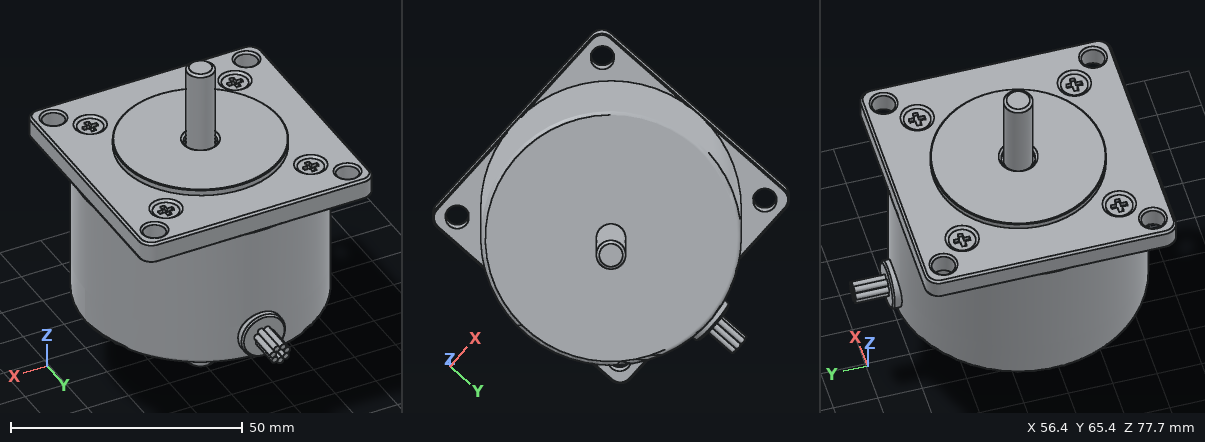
import cadquery as cq
import math


flange_width = 56.4
flange_thickness = 5.08
flange_corner_radius = 3.0
flange_top_chamfer = 0.5
flange_bottom_chamfer = 0.3

mount_spacing = 47.14
mount_hole_diameter = 5.1
mount_hole_chamfer = 0.5

screw_circle_diameter = 50.0
screw_head_diameter = 5.9
screw_recess_diameter = 7.3
screw_recess_depth = 0.5
cross_length = 3.6
cross_width = 1.05
cross_depth = 1.0

pilot_diameter = 38.1
pilot_height = 1.5
pilot_chamfer = 0.2
clearance_diameter = 7.4
clearance_chamfer = 0.55

motor_length = 38.22
motor_diameter = flange_width
cap_length = 9.1
cap_edge_radius = 1.0

shaft_diameter = 6.35
shaft_extension = 19.0
shaft_chamfer_radial = 0.65
shaft_chamfer_axial = 0.5

grommet_diameter = 10.7
grommet_height_above_cap_end = 6.05
grommet_protrusion = 1.5
grommet_chamfer = 0.4
wire_count = 7
wire_diameter = 1.45
wire_circle_radius = 1.75
wire_start_angle = 11.0
wire_length = 7.5

motor_end_z = -motor_length
cap_top_z = motor_end_z + cap_length
grommet_z = motor_end_z + grommet_height_above_cap_end
shaft_top_z = pilot_height + shaft_extension
shaft_bottom_z = motor_end_z - shaft_extension
grommet_face_y = flange_width / 2 + grommet_protrusion


def cylinder(diameter, z_start, z_end):
    """Cylinder on the motor axis between two levels."""
    return cq.Workplane("XY").workplane(offset=z_start).circle(diameter / 2).extrude(z_end - z_start)


def square_pattern(spacing):
    """Centres of four features at the corners of a square."""
    half = spacing / 2
    return [(x, y) for x in (-half, half) for y in (-half, half)]


def make_flange():
    flange = (
        cq.Workplane("XY")
        .rect(flange_width, flange_width)
        .extrude(-flange_thickness)
        .edges("|Z")
        .fillet(flange_corner_radius)
        .faces(">Z")
        .chamfer(flange_top_chamfer)
        .faces("<Z")
        .chamfer(flange_bottom_chamfer)
    )
    countersink_diameter = mount_hole_diameter + 2 * mount_hole_chamfer
    return (
        flange.faces(">Z")
        .workplane(origin=(0, 0, 0))
        .pushPoints(square_pattern(mount_spacing))
        .cskHole(mount_hole_diameter, countersink_diameter, 90)
    )


def make_body():
    body = cylinder(motor_diameter, cap_top_z, -flange_thickness)
    cap = cylinder(motor_diameter, motor_end_z, cap_top_z).faces("<Z").edges().fillet(cap_edge_radius)
    return body.union(cap, clean=False)


def make_pilot():
    return cylinder(pilot_diameter, 0, pilot_height).faces(">Z").chamfer(pilot_chamfer)


def make_clearance():
    """Chamfered bore around the shaft, as deep as the pilot is high."""
    radius = clearance_diameter / 2
    return (
        cq.Workplane("XZ")
        .moveTo(0, 0)
        .lineTo(radius, 0)
        .lineTo(radius, pilot_height - clearance_chamfer)
        .lineTo(radius + clearance_chamfer, pilot_height)
        .lineTo(0, pilot_height)
        .close()
        .revolve(360, (0, 0), (0, 1))
    )


def make_shaft():
    radius = shaft_diameter / 2
    end_radius = radius - shaft_chamfer_radial
    return (
        cq.Workplane("XZ")
        .moveTo(0, shaft_bottom_z)
        .lineTo(end_radius, shaft_bottom_z)
        .lineTo(radius, shaft_bottom_z + shaft_chamfer_axial)
        .lineTo(radius, shaft_top_z - shaft_chamfer_axial)
        .lineTo(end_radius, shaft_top_z)
        .lineTo(0, shaft_top_z)
        .close()
        .revolve(360, (0, 0), (0, 1))
    )


def make_screw_recess():
    """Conical recess down to the screw head, plus the round-ended cross slot in the head."""
    cone = (
        cq.Workplane("XY")
        .circle(screw_recess_diameter / 2)
        .workplane(offset=-screw_recess_depth)
        .circle(screw_head_diameter / 2)
        .loft()
    )
    slot_depth = screw_recess_depth + cross_depth
    slot_x = cq.Workplane("XY").rect(cross_length, cross_width).extrude(-slot_depth)
    slot_y = cq.Workplane("XY").rect(cross_width, cross_length).extrude(-slot_depth)
    round_ends = cq.Workplane("XY").circle(cross_length / 2).extrude(-slot_depth)
    cross = slot_x.union(slot_y).intersect(round_ends)
    return cone.union(cross)


def rod_along_y(diameter, x, z, y_end):
    """Rod starting inside the motor and ending at y_end."""
    rod_plane = cq.Plane(origin=(x, 0, z), xDir=(1, 0, 0), normal=(0, 1, 0))
    start_y = motor_diameter / 4
    return cq.Workplane(rod_plane).workplane(offset=start_y).circle(diameter / 2).extrude(y_end - start_y)


def make_cable():
    cable = rod_along_y(grommet_diameter, 0, grommet_z, grommet_face_y).faces(">Y").chamfer(grommet_chamfer)
    for index in range(wire_count):
        angle = math.radians(wire_start_angle + index * 360 / wire_count)
        wire_x = wire_circle_radius * math.cos(angle)
        wire_z = grommet_z + wire_circle_radius * math.sin(angle)
        cable = cable.union(rod_along_y(wire_diameter, wire_x, wire_z, grommet_face_y + wire_length))
    return cable


result = make_flange().union(make_body(), clean=False).union(make_pilot(), clean=False)
result = result.cut(make_clearance(), clean=False)

screw_recess = make_screw_recess()
for x, y in square_pattern(screw_circle_diameter / math.sqrt(2)):
    result = result.cut(screw_recess.translate((x, y, 0)), clean=False)

result = result.union(make_shaft(), clean=False).union(make_cable(), clean=False)